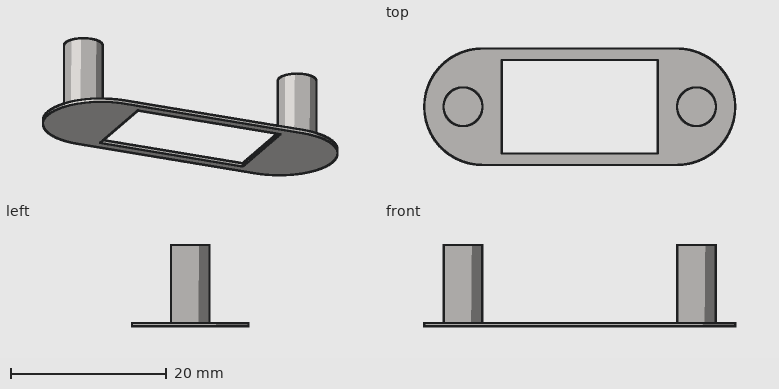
import cadquery as cq

plate_length = 40.0
plate_width = 15.0
plate_thickness = 0.5

window_length = 20.0
window_width = 12.0

pin_diameter = 5.0
pin_height = 10.0
pin_spacing = 30.0


def make_plate():
    """Round-ended plate resting on Z = 0, with the window cut through."""
    return (
        cq.Workplane("XY")
        .slot2D(plate_length, plate_width)
        .extrude(plate_thickness)
        .faces(">Z")
        .workplane()
        .rect(window_length, window_width)
        .cutThruAll()
    )


def make_pins():
    """Pins that run from the underside of the plate to their full height above it."""
    return (
        cq.Workplane("XY")
        .pushPoints([(-pin_spacing / 2, 0), (pin_spacing / 2, 0)])
        .circle(pin_diameter / 2)
        .extrude(plate_thickness + pin_height)
    )


result = make_plate().union(make_pins())